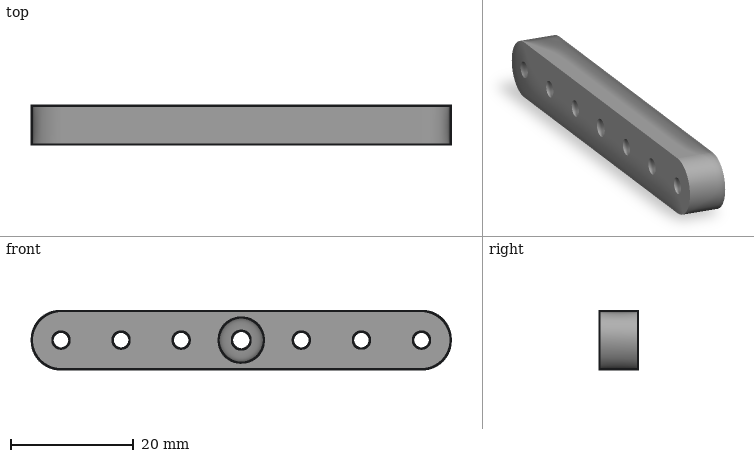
import cadquery as cq

length = 68.2
thickness = 6.35
height = 9.55

holes_per_side = 3
hole_pitch = (length - height) / 2 / holes_per_side
hole_diameter = 2.7

center_hole_diameter = 3.0
counterbore_diameter = 7.35
counterbore_depth = 2.0


def cylinder_from_front(diameter, depth, x=0.0):
    """Cylinder running from the front face into the bar, along +Y."""
    front_face = cq.Workplane("XZ", origin=(x, -thickness / 2, 0))
    return front_face.circle(diameter / 2).extrude(-depth)


bar = cq.Workplane("XZ").slot2D(length, height).extrude(thickness / 2, both=True)

for step in range(1, holes_per_side + 1):
    for side in (-1, 1):
        bar = bar.cut(cylinder_from_front(hole_diameter, thickness, side * step * hole_pitch))

bar = bar.cut(cylinder_from_front(center_hole_diameter, thickness))
bar = bar.cut(cylinder_from_front(counterbore_diameter, counterbore_depth))

result = bar